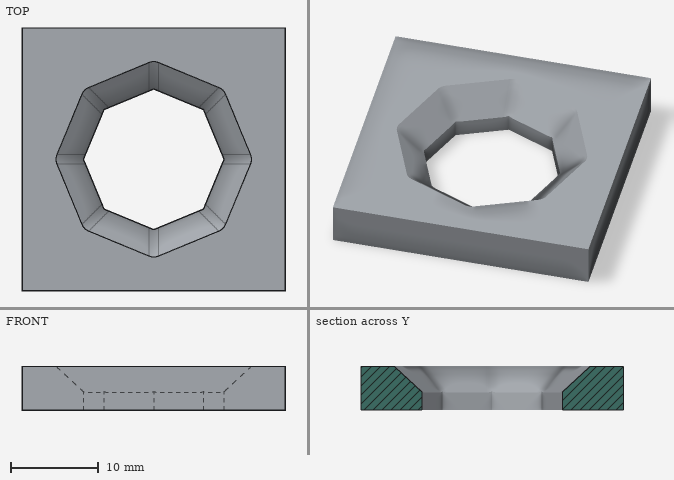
import cadquery as cq
import math

plate_side = 30.0
plate_thickness = 5.0

sides = 8
opening_corner_radius = 8.0
countersink_depth = 3.0
countersink_angle = 45.0
countersink_edge_radius = 2.0

half_side_angle = math.pi / sides
countersink_spread = countersink_depth * math.tan(math.radians(countersink_angle))
rim_corner_radius = opening_corner_radius + countersink_spread / math.cos(half_side_angle)


def octagon(height, corner_radius):
    """Octagon outline at the given height, with corners on the X and Y axes."""
    return cq.Workplane("XY").workplane(offset=height).polygon(sides, 2 * corner_radius)


def make_countersink():
    """Tapered octagonal void with its sloping edges rounded, narrow end down."""
    void = octagon(plate_thickness, rim_corner_radius).extrude(-countersink_depth, taper=countersink_angle)
    return void.edges("not #Z").fillet(countersink_edge_radius)


plate = cq.Workplane("XY").rect(plate_side, plate_side).extrude(plate_thickness)
straight_opening = octagon(0, opening_corner_radius).extrude(plate_thickness)

result = plate.cut(straight_opening).cut(make_countersink())